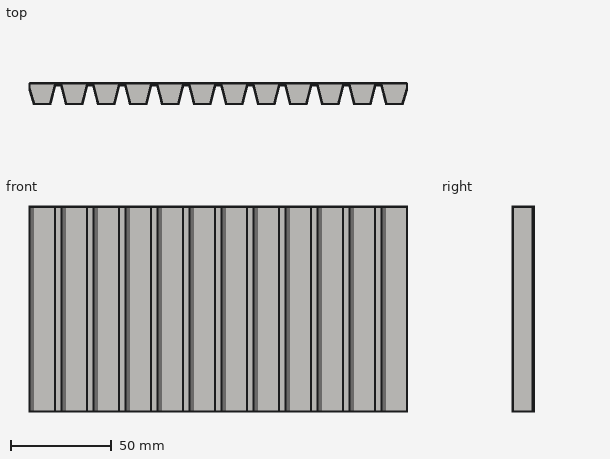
import cadquery as cq

length = 187.3
thickness = 10.5
height = 101.5

tooth_count = 12
end_tooth_width = 12.7
tooth_pitch = (length - end_tooth_width) / (tooth_count - 1)
web_thickness = 1.3
root_width = 12.7
tip_width = 8.0
tip_edge_radius = 0.4

end_flat_depth = 2.8
corner_chamfer = 0.5

back_y = thickness / 2
tip_y = -thickness / 2
web_y = back_y - web_thickness
end_x = length / 2
first_center = -tooth_pitch * (tooth_count - 1) / 2


def front_outline():
    """Points along the toothed side, from the -X end to the +X end."""
    points = [(-end_x, back_y - end_flat_depth)]
    for index in range(tooth_count):
        center = first_center + index * tooth_pitch
        if index > 0:
            points.append((center - root_width / 2, web_y))
        points.append((center - tip_width / 2, tip_y))
        points.append((center + tip_width / 2, tip_y))
        if index < tooth_count - 1:
            points.append((center + root_width / 2, web_y))
    points.append((end_x, back_y - end_flat_depth))
    return points


def back_outline():
    """Points along the back face, from the +X end to the -X end."""
    return [
        (end_x, back_y - corner_chamfer),
        (end_x - corner_chamfer, back_y),
        (-end_x + corner_chamfer, back_y),
        (-end_x, back_y - corner_chamfer),
    ]


body = (
    cq.Workplane("XY")
    .workplane(offset=-height / 2)
    .polyline(front_outline() + back_outline())
    .close()
    .extrude(height)
)

result = body.faces("<Y").edges("|Z").fillet(tip_edge_radius)